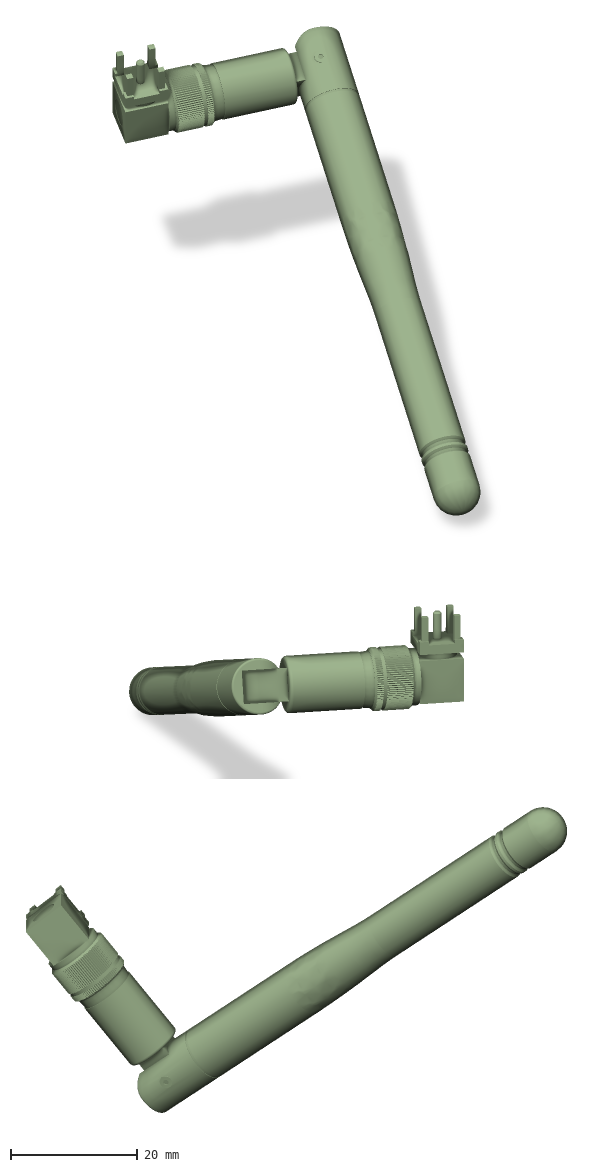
import cadquery as cq
import math

droop_angle = 17.0

whip_back = -5.3
sleeve_radius = 4.5
back_edge_round = 0.3
collar_groove_start = 6.2
collar_groove_width = 0.4
collar_groove_depth = 0.1
taper_start = 26.95
taper_end = 39.5
waist_end = 44.4
whip_radius = 3.8
dome_start = 77.8
dome_round = 3.7
ring_groove_start = 69.7
ring_groove_width = 1.2
ring_groove_floor = 0.4
ring_groove_pitch = 1.6
ring_groove_count = 2
ring_groove_depth = 0.3

taper_share = (taper_end - taper_start) / (waist_end - taper_start)
taper_end_radius = sleeve_radius - taper_share * (sleeve_radius - whip_radius)

hinge_y = -0.3
slot_height = 5.3
slot_wall_y = 2.7
slot_end = 2.6
jaw_round = 3.9
blade_width = 5.15
hinge_pin_y = -0.5
hinge_pin_radius = 1.0
hinge_socket_radius = 0.4
hinge_socket_depth = 0.2

barrel_start = 5.15
barrel_radius = 4.6
barrel_round = 0.5
neck_start = 17.2
neck_radius = 4.4
nut_start = 18.85
nut_end = 25.35
nut_radius = 5.1
nut_chamfer = 0.4
knurl_depth = 0.2
knurl_teeth = 90
nut_groove_start = 20.2
nut_groove_width = 0.6
block_start = 26.4

block_size = 7.1
block_end = block_start + block_size
block_y = -(block_start + block_end) / 2
cap_radius = 2.1
cap_recess = 0.1
stud_radius = 3.1
plate_size = block_size
plate_bottom = 4.6
plate_top = 6.1
pad_top = 6.7
pin_top = 10.6
leg_size = 1.0
leg_offset = 2.6
contact_radius = 0.7
contact_chamfer = 0.25
pad_size = (plate_size + leg_size) / 2 - leg_offset

clearance = 0.85
tool_size = 16.9


def droop(shape):
    """Turn a shape built along +X to the direction of the whip."""
    return shape.rotate((0, 0, 0), (0, 1, 0), droop_angle)


def ring(start, width, inner, outer):
    """A ring around the X axis, for cutting grooves."""
    return cq.Workplane("YZ", origin=(start, 0, 0)).circle(outer).circle(inner).extrude(width)


def ring_groove(start):
    """A groove around the whip, with sloping flanks that reach its surface."""
    middle = start + ring_groove_width / 2
    half_width = ring_groove_width / 2
    half_floor = ring_groove_floor / 2
    floor = whip_radius - ring_groove_depth
    return (
        cq.Workplane("XY")
        .moveTo(middle - half_width, whip_radius)
        .lineTo(middle - half_floor, floor)
        .lineTo(middle + half_floor, floor)
        .lineTo(middle + half_width, whip_radius)
        .close()
        .revolve(360, (0, 0, 0), (1, 0, 0))
    )


def jaw_corner():
    """The material outside the rounded corner between the back end and the open side."""
    side = hinge_y - jaw_round
    reach = tool_size / 2
    return (
        cq.Workplane("XY", origin=(0, 0, -reach))
        .moveTo(whip_back, hinge_y)
        .radiusArc((whip_back + jaw_round, side), -jaw_round)
        .lineTo(whip_back + jaw_round, -reach)
        .lineTo(whip_back - clearance, -reach)
        .lineTo(whip_back - clearance, hinge_y)
        .close()
        .extrude(tool_size)
    )


def whip_outer():
    """The turned shape of the whip, with its grooves."""
    profile = (
        cq.Workplane("XY")
        .moveTo(whip_back, 0)
        .lineTo(whip_back, sleeve_radius)
        .lineTo(taper_start, sleeve_radius)
        .tangentArcPoint((taper_end, taper_end_radius), relative=False)
        .tangentArcPoint((waist_end, whip_radius), relative=False)
        .lineTo(dome_start, whip_radius)
        .radiusArc((dome_start + dome_round, whip_radius - dome_round), dome_round)
        .lineTo(dome_start + dome_round, 0)
        .close()
    )
    whip = profile.revolve(360, (0, 0, 0), (1, 0, 0))
    collar_floor = sleeve_radius - collar_groove_depth
    whip = whip.cut(ring(collar_groove_start, collar_groove_width, collar_floor, sleeve_radius + clearance))
    for index in range(ring_groove_count):
        whip = whip.cut(ring_groove(ring_groove_start + index * ring_groove_pitch))
    return whip


def make_whip():
    """The whip with the hinge slot, the rounded jaws and the hole for the hinge pin."""
    reach = tool_size / 2
    slot = (
        cq.Workplane("XY")
        .box(tool_size, tool_size, slot_height)
        .translate((slot_end - reach, slot_wall_y - reach, 0))
    )
    whip = whip_outer().cut(slot).cut(jaw_corner())
    whip = whip.faces("<X").edges("%CIRCLE").fillet(back_edge_round)
    hole = cq.Workplane("XY", origin=(0, hinge_pin_y, -reach)).circle(hinge_pin_radius).extrude(tool_size)
    return droop(whip.cut(hole))


def make_blade():
    """The hinge blade and its pin, tilted with the whip; the blade runs on into the barrel."""
    half_width = blade_width / 2
    root = -barrel_start - clearance
    blade = (
        cq.Workplane("XY", origin=(0, 0, -slot_height / 2))
        .moveTo(-half_width, root)
        .lineTo(half_width, root)
        .lineTo(half_width, hinge_y)
        .threePointArc((0, hinge_y + half_width), (-half_width, hinge_y))
        .close()
        .extrude(slot_height)
    )
    pin = (
        cq.Workplane("XY", origin=(0, hinge_pin_y, -sleeve_radius))
        .circle(hinge_pin_radius)
        .extrude(2 * sleeve_radius)
    )
    for end in ("<Z", ">Z"):
        face = pin.faces(end).workplane(centerOption="CenterOfMass")
        pin = face.circle(hinge_socket_radius).cutBlind(-hinge_socket_depth)
    return droop(blade.union(pin))


def make_barrel():
    """The turned barrel, with a conical neck in front of the nut."""
    return (
        cq.Workplane("XY")
        .moveTo(0, -barrel_start)
        .lineTo(barrel_radius - barrel_round, -barrel_start)
        .radiusArc((barrel_radius, -barrel_start - barrel_round), barrel_round)
        .lineTo(barrel_radius, -neck_start)
        .lineTo(neck_radius, -neck_start)
        .lineTo(barrel_radius, -nut_start)
        .lineTo(barrel_radius, -block_start)
        .lineTo(0, -block_start)
        .close()
        .revolve(360, (0, 0, 0), (0, 1, 0))
    )


def make_nut():
    """The knurled nut: straight teeth, chamfered ends and one groove."""
    length = nut_end - nut_start
    points = []
    for index in range(2 * knurl_teeth):
        angle = math.pi * index / knurl_teeth
        radius = nut_radius - knurl_depth * (index % 2)
        points.append((radius * math.cos(angle), radius * math.sin(angle)))
    teeth = cq.Workplane("XZ", origin=(0, -nut_start, 0)).polyline(points).close().extrude(length)
    envelope = (
        cq.Workplane("XZ", origin=(0, -nut_start, 0))
        .circle(nut_radius)
        .extrude(length)
        .edges()
        .chamfer(nut_chamfer)
    )
    groove = (
        cq.Workplane("XZ", origin=(0, -nut_groove_start, 0))
        .circle(nut_radius + clearance)
        .circle(nut_radius - knurl_depth)
        .extrude(nut_groove_width)
    )
    return teeth.intersect(envelope).cut(groove)


def corner_posts(bottom, top, size, offset):
    """Four square posts, one near each corner of the mounting plate."""
    return (
        cq.Workplane("XY", origin=(0, block_y, bottom))
        .rect(2 * offset, 2 * offset, forConstruction=True)
        .vertices()
        .rect(size, size)
        .extrude(top - bottom)
    )


def make_block():
    """The right-angle block with its stud, mounting plate, legs and centre contact."""
    half = block_size / 2
    block = cq.Workplane("XY").box(block_size, block_size, block_size).translate((0, block_y, 0))
    block = block.faces("<Y").workplane(centerOption="CenterOfMass").circle(cap_radius).cutBlind(-cap_recess)
    stud = cq.Workplane("XY", origin=(0, block_y, half)).circle(stud_radius).extrude(plate_bottom - half)
    plate = (
        cq.Workplane("XY", origin=(0, block_y, plate_bottom))
        .rect(plate_size, plate_size)
        .extrude(plate_top - plate_bottom)
    )
    pads = corner_posts(plate_top, pad_top, pad_size, (plate_size - pad_size) / 2)
    legs = corner_posts(pad_top, pin_top, leg_size, leg_offset)
    contact = (
        cq.Workplane("XY", origin=(0, block_y, plate_top))
        .circle(contact_radius)
        .extrude(pin_top - plate_top)
        .faces(">Z")
        .chamfer(contact_chamfer)
    )
    return block.union(stud).union(plate).union(pads).union(legs).union(contact)


whip = make_whip()
plug = make_barrel().union(make_blade()).union(make_nut()).union(make_block())

result = cq.Compound.makeCompound([whip.val(), plug.val()])